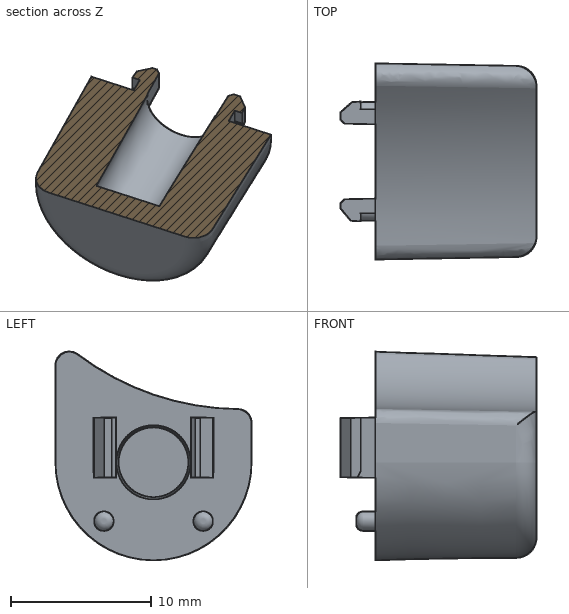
import cadquery as cq
import math

BODY_LENGTH = 11.5
HALF_WIDTH = 7.0
DRAFT = math.tan(math.radians(1.0))
SCOOP_RADIUS = 19.2
SCOOP_AXIS_Y = -6.2
SCOOP_LOWEST_Z = 3.8
CORNER_RADIUS = 1.0
END_RADIUS = 1.5

HOLE_RADIUS = 2.65
HOLE_DEPTH = 9.5

PEG_RADIUS = 0.7
PEG_LENGTH = 1.38
PEG_TIP_RADIUS = 0.5
PEG_Y = 3.54
PEG_Z = -4.2

CLIP_LENGTH = 2.5
CLIP_BOTTOM_Z = -1.12
CLIP_TOP_Z = 3.2
CLIP_INNER_Y = 2.64
CLIP_STEM_OUTER_Y = 3.71
CLIP_HOOK_OUTER_Y = 4.28
CLIP_TIP_BEVEL = 0.3
LEDGE_X = -1.05
LEDGE_BEVEL_X = 0.24
LEDGE_BEVEL_Z = 0.48
CLIP_LEAD_INS = [(1, 0.83, 0.74), (-1, 0.74, 0.9)]


def body_section(x):
    """Closed outline of the body at distance x, shrunk all round by the draft."""
    inset = x * DRAFT
    half_width = HALF_WIDTH - inset
    scoop_radius = SCOOP_RADIUS + inset
    scoop_axis_z = SCOOP_LOWEST_Z + SCOOP_RADIUS

    def scoop_point(y):
        drop = math.sqrt(scoop_radius ** 2 - (y - SCOOP_AXIS_Y) ** 2)
        return (y, scoop_axis_z - drop)

    return (
        cq.Workplane("YZ", origin=(x, 0, 0))
        .moveTo(-half_width, 0)
        .threePointArc((0, -half_width), (half_width, 0))
        .lineTo(*scoop_point(half_width))
        .threePointArc(scoop_point(0), scoop_point(-half_width))
        .close()
        .val()
    )


def make_body():
    """The upper corner rounds and the far end rounds meet in mitres."""
    sections = [body_section(0), body_section(BODY_LENGTH)]
    sharp_body = cq.Workplane(cq.Solid.makeLoft(sections, True))
    end_rounded = sharp_body.faces(">X").edges("not >Z").fillet(END_RADIUS)
    corner_rounded = sharp_body.faces(">Z").edges("not(<X or >X)").fillet(CORNER_RADIUS)
    return end_rounded.intersect(corner_rounded)


def make_hole():
    """Tapered bore, with a straight mouth that clears the roots of the clips."""
    bore = (
        cq.Workplane("YZ")
        .circle(HOLE_RADIUS)
        .workplane(offset=HOLE_DEPTH)
        .circle(HOLE_RADIUS - HOLE_DEPTH * DRAFT)
        .loft()
    )
    mouth = cq.Workplane("YZ").circle(HOLE_RADIUS).extrude(-CLIP_LENGTH)
    return bore.union(mouth)


def make_peg(y):
    return (
        cq.Workplane("YZ", origin=(0, y, PEG_Z))
        .circle(PEG_RADIUS)
        .extrude(-PEG_LENGTH)
        .faces("<X")
        .edges()
        .fillet(PEG_TIP_RADIUS)
    )


def make_clip(side, lead_in_length, lead_in_width):
    taper = CLIP_LENGTH * DRAFT
    inner_tip_y = CLIP_INNER_Y + taper
    hook_front_y = CLIP_HOOK_OUTER_Y - taper
    outline = [
        (0, CLIP_INNER_Y),
        (CLIP_TIP_BEVEL - CLIP_LENGTH, inner_tip_y),
        (-CLIP_LENGTH, inner_tip_y + CLIP_TIP_BEVEL),
        (-CLIP_LENGTH, hook_front_y - lead_in_width),
        (lead_in_length - CLIP_LENGTH, hook_front_y),
        (LEDGE_X, CLIP_HOOK_OUTER_Y),
        (LEDGE_X, CLIP_STEM_OUTER_Y),
        (0, CLIP_STEM_OUTER_Y),
    ]
    profile = (
        cq.Workplane("XY", origin=(0, 0, CLIP_BOTTOM_Z))
        .polyline([(x, side * y) for x, y in outline])
        .close()
        .extrude(CLIP_TOP_Z - CLIP_BOTTOM_Z)
    )
    side_envelope = (
        cq.Workplane("XZ")
        .polyline([
            (0, CLIP_BOTTOM_Z),
            (0, CLIP_TOP_Z),
            (-CLIP_LENGTH, CLIP_TOP_Z - taper),
            (-CLIP_LENGTH, CLIP_BOTTOM_Z + taper),
        ])
        .close()
        .extrude(HALF_WIDTH, both=True)
    )
    ledge_relief = (
        cq.Workplane("XZ", origin=(0, side * CLIP_STEM_OUTER_Y, 0))
        .polyline([
            (LEDGE_X, CLIP_BOTTOM_Z + LEDGE_BEVEL_Z),
            (LEDGE_X - LEDGE_BEVEL_X, CLIP_BOTTOM_Z),
            (LEDGE_X, CLIP_BOTTOM_Z),
        ])
        .close()
        .extrude(-side * HALF_WIDTH)
    )
    return profile.intersect(side_envelope).cut(ledge_relief)


result = make_body()
for clip_side, slope_length, slope_width in CLIP_LEAD_INS:
    result = result.union(make_clip(clip_side, slope_length, slope_width))
    result = result.union(make_peg(clip_side * PEG_Y))
result = result.cut(make_hole())